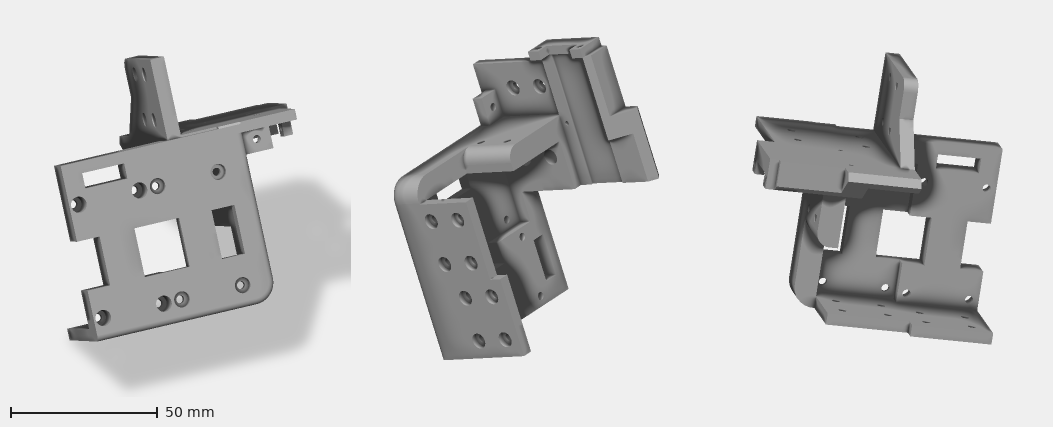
import cadquery as cq
import math

TILT = 38.8

Y_FRONT = -45.6
Y_BACK = 45.6
Y_STEP = -17.1
Y_UPRIGHT = -6.2
Y_WEB = 11.7
Y_WALL_BACK = 19.7
Y_DECK_BACK = 39.4
EAR_THICK = 3.2
Y_EAR = Y_BACK - EAR_THICK

WALL_X = 21.2
WALL_THICK = 8.8
RECESS_THICK = 4.2
WALL_TOP = 15.9
BASE_Z = -45.5
WALL_CORNER_R = 7.5
WALL_EDGE_R = 2.0
WALL_INNER_X = WALL_X - WALL_THICK
RECESS_X = WALL_X - RECESS_THICK

FOOT_THICK = 4.05
FOOT_REACH = 29.0

WEB_X = -12.05
WEB_BOTTOM = -18.4
WEB_CORNER_R = 5.0
RIB_X = 9.2

DECK_TOP = 16.65
DECK_BOTTOM = 7.8
DECK_END_X = 18.6
SHELF_BOTTOM = 13.0
BEVEL_X = 0.5
UPRIGHT_THICK = 5.0
UPRIGHT_TOP = 44.2
UPRIGHT_LEFT = -17.4
UPRIGHT_CORNER_R = 4.0
BRACE_TOP = 30.5
BRACE_X = -31.1

ARM_TIP_Z = 13.9
ARM_CLEARANCE_X = -55.2
ARM_BOTTOM = 11.4
ARM_LIP_X = -38.2
ARM_END_X = -35.9
EAR_WIDTH = 4.8
EAR_BOTTOM = 5.9
GROOVE_DEPTH = 0.9
BRIDGE_DROP = 0.9
TAB_BOTTOM = 5.1
TAB_THICK = 4.05
TAB_WIDTH = 10.1

WINDOW_Z = (-27.7, -10.6)
WINDOWS_Y = [(Y_FRONT, -37.4), (-24.8, -8.65), (3.1, 11.4)]
SLOT_Y = (-38.7, -23.55)
SLOT_Z = (6.5, 11.9)

SCREW_D = 2.8
HEAD_D = 5.5
UPRIGHT_HEAD_D = 5.0
SCREW_FLOOR = 2.0
PILOT_D = 1.6
EAR_HOLE_D = 2.6
HOLE_PITCH = 12.05
HOLE_ROW = 15.9
WALL_HOLE_ROW = 22.0
WALL_HOLE_LOW = -38.0
WALL_HOLE_HIGH = 1.7
WALL_HOLE_FRONT_Y = -42.2
WALL_HOLE_BACK_Y = -13.7
PLATE_HOLE_X = -5.7
UPRIGHT_HOLE_Z = 22.8
WEB_HOLE_Z = -10.2
DECK_HOLE_Y = 6.0
SHELF_HOLE_Y = 30.0
FOOT_HOLE_OFFSET = 10.8
FOOT_HOLE_FRONT_Y = -39.3
FOOT_HOLE_BACK_Y = -10.7
EAR_HOLE_Z = 8.9
TAB_HOLE_Z = 9.4
PILOT_Y = 16.65
OVERRUN = 0.9


def block(x_range, y_range, z_range):
    """Box spanning the given ranges."""
    (x0, x1), (y0, y1), (z0, z1) = x_range, y_range, z_range
    box = cq.Workplane("XY").box(x1 - x0, y1 - y0, z1 - z0, centered=False)
    return box.translate((x0, y0, z0))


def side_profile(points, y0, y1):
    """Prism with an x-z outline, running from y0 to y1."""
    return cq.Workplane("XZ", origin=(0, y0, 0)).polyline(points).close().extrude(y0 - y1)


def cylinder(diameter, start, direction, length):
    return cq.Workplane(
        cq.Solid.makeCylinder(diameter / 2, length, cq.Vector(*start), cq.Vector(*direction))
    )


def screw_hole(start, direction, thickness, head_d=HEAD_D):
    """Cutter entering at `start`, widened for the head beyond the remaining floor."""
    axis = cq.Vector(*direction)
    entry = cq.Vector(*start)
    shank_start = (entry - axis * OVERRUN).toTuple()
    head_start = (entry + axis * SCREW_FLOOR).toTuple()
    shank = cylinder(SCREW_D, shank_start, direction, thickness + OVERRUN)
    head = cylinder(head_d, head_start, direction, thickness - SCREW_FLOOR + OVERRUN)
    return shank.union(head)


def make_wall():
    """Wall plate with its back rib, rounded back corner and rounded outer rim."""
    wall = block((RIB_X, WALL_X), (Y_FRONT, Y_WALL_BACK), (BASE_Z, WALL_TOP))
    wall = wall.edges("|X and >Y and <Z").fillet(WALL_CORNER_R)
    margin = 0.1
    rim = cq.selectors.BoxSelector(
        (WALL_X - margin, Y_FRONT + margin, BASE_Z - margin),
        (WALL_X + margin, Y_WALL_BACK + margin, WALL_TOP - margin),
    )
    wall = wall.edges(rim).fillet(WALL_EDGE_R)
    wall = wall.cut(block((RIB_X, WALL_INNER_X), (Y_FRONT, Y_WEB), (BASE_Z, WALL_TOP)))
    return wall.cut(block((WALL_INNER_X, RECESS_X), (Y_STEP, Y_WEB), (BASE_Z, DECK_BOTTOM)))


def make_foot():
    foot_z = (BASE_Z, BASE_Z + FOOT_THICK)
    front = block((WALL_INNER_X - FOOT_REACH, WALL_INNER_X), (Y_FRONT, Y_STEP), foot_z)
    back = block((RECESS_X - FOOT_REACH, RECESS_X), (Y_STEP, Y_WEB), foot_z)
    return front.union(back)


def make_web():
    web = block((WEB_X, WALL_INNER_X), (Y_WEB, Y_WALL_BACK), (WEB_BOTTOM, DECK_TOP))
    return web.edges("|X and >Y and <Z").fillet(WEB_CORNER_R)


def make_deck():
    deck = block((WEB_X, DECK_END_X), (Y_UPRIGHT, Y_WALL_BACK), (DECK_BOTTOM, DECK_TOP))
    bevelled_end = [
        (WEB_X, SHELF_BOTTOM),
        (WALL_X, SHELF_BOTTOM),
        (WALL_X, WALL_TOP),
        (WALL_X - BEVEL_X, DECK_TOP),
        (WEB_X, DECK_TOP),
    ]
    shelf = block((WEB_X, WALL_X), (Y_WALL_BACK, Y_DECK_BACK), (SHELF_BOTTOM, DECK_TOP))
    tab = block(
        (DECK_END_X - TAB_THICK, DECK_END_X),
        (Y_WALL_BACK, Y_WALL_BACK + TAB_WIDTH),
        (TAB_BOTTOM, SHELF_BOTTOM),
    )
    return deck.union(side_profile(bevelled_end, Y_WEB, Y_WALL_BACK)).union(shelf).union(tab)


def make_upright():
    outline = [
        (BRACE_X, DECK_TOP),
        (UPRIGHT_LEFT, BRACE_TOP),
        (UPRIGHT_LEFT, UPRIGHT_TOP),
        (DECK_END_X, UPRIGHT_TOP),
        (DECK_END_X, DECK_TOP),
    ]
    plate = side_profile(outline, Y_UPRIGHT, Y_UPRIGHT + UPRIGHT_THICK)
    corner = cq.selectors.NearestToPointSelector((UPRIGHT_LEFT, Y_UPRIGHT, UPRIGHT_TOP))
    return plate.edges("|Y").edges(corner).fillet(UPRIGHT_CORNER_R)


def make_arm():
    """Arm with a tip cut level and plumb in the tilted position, a lip and two ears."""
    slope = math.tan(math.radians(TILT))
    level_x = ARM_END_X - (ARM_BOTTOM - EAR_BOTTOM) / slope
    tip_x = ARM_END_X - (ARM_TIP_Z - EAR_BOTTOM) / slope
    tip = [
        (level_x, ARM_BOTTOM),
        (tip_x, ARM_TIP_Z),
        (tip_x + (DECK_TOP - ARM_TIP_Z) * slope, DECK_TOP),
    ]
    root = [(WEB_X, DECK_TOP), (WEB_X, ARM_BOTTOM)]
    arm = side_profile(tip + root, Y_UPRIGHT, Y_BACK)
    lip = [(level_x, ARM_BOTTOM), (ARM_END_X, ARM_BOTTOM), (ARM_END_X, EAR_BOTTOM)]
    arm = arm.union(side_profile(lip, Y_WEB, Y_EAR))

    beyond = (ARM_CLEARANCE_X, ARM_LIP_X)
    arm = arm.cut(block(beyond, (Y_WALL_BACK, Y_BACK), (EAR_BOTTOM, DECK_TOP)))
    arm = arm.cut(block((ARM_LIP_X, ARM_END_X), (Y_EAR, Y_BACK), (EAR_BOTTOM, DECK_TOP)))

    between_ears = (ARM_END_X + EAR_WIDTH, WEB_X - EAR_WIDTH)
    arm = arm.cut(block(between_ears, (Y_UPRIGHT, Y_EAR), (ARM_BOTTOM, ARM_BOTTOM + GROOVE_DEPTH)))
    bridge = block(between_ears, (Y_EAR, Y_BACK), (ARM_BOTTOM - BRIDGE_DROP, ARM_BOTTOM))
    arm = arm.union(bridge)
    for ear_x in (ARM_END_X, WEB_X - EAR_WIDTH):
        ear = block((ear_x, ear_x + EAR_WIDTH), (Y_EAR, Y_BACK), (EAR_BOTTOM, ARM_BOTTOM))
        arm = arm.union(ear)
    return arm


def wall_openings():
    through = (RIB_X - OVERRUN, WALL_X + OVERRUN)
    cutters = block(through, SLOT_Y, SLOT_Z)
    for window_y in WINDOWS_Y:
        cutters = cutters.union(block(through, window_y, WINDOW_Z))
    return cutters


def screw_holes():
    """Cutters for all holes whose screw heads sit in counterbores."""
    cutters = []
    for inner_x, thickness, first_y in (
        (WALL_INNER_X, WALL_THICK, WALL_HOLE_FRONT_Y),
        (RECESS_X, RECESS_THICK, WALL_HOLE_BACK_Y),
    ):
        for y in (first_y, first_y + WALL_HOLE_ROW):
            for z in (WALL_HOLE_LOW, WALL_HOLE_HIGH):
                cutters.append(screw_hole((inner_x, y, z), (1, 0, 0), thickness))

    upright_back = Y_UPRIGHT + UPRIGHT_THICK
    for x in (PLATE_HOLE_X, PLATE_HOLE_X + HOLE_PITCH):
        for z in (UPRIGHT_HOLE_Z, UPRIGHT_HOLE_Z + HOLE_ROW):
            start = (x, upright_back, z)
            cutters.append(screw_hole(start, (0, -1, 0), UPRIGHT_THICK, UPRIGHT_HEAD_D))
        for y, bottom in ((DECK_HOLE_Y, DECK_BOTTOM), (SHELF_HOLE_Y, SHELF_BOTTOM)):
            cutters.append(screw_hole((x, y, DECK_TOP), (0, 0, -1), DECK_TOP - bottom))

    foot_top = BASE_Z + FOOT_THICK
    for inner_x, first_y in ((WALL_INNER_X, FOOT_HOLE_FRONT_Y), (RECESS_X, FOOT_HOLE_BACK_Y)):
        first_x = inner_x - FOOT_HOLE_OFFSET
        for x in (first_x, first_x - HOLE_PITCH):
            for y in (first_y, first_y + HOLE_ROW):
                cutters.append(screw_hole((x, y, foot_top), (0, 0, -1), FOOT_THICK))
    return cutters


def plain_holes():
    """Cutters for straight holes in the web, ears, arm and tab."""
    cutters = []
    web_depth = Y_WALL_BACK - Y_WEB
    for x in (PLATE_HOLE_X, PLATE_HOLE_X + HOLE_PITCH):
        cutters.append(cylinder(SCREW_D, (x, Y_WEB, WEB_HOLE_Z), (0, 1, 0), web_depth))

    arm_depth = DECK_TOP - ARM_BOTTOM + GROOVE_DEPTH
    for ear_x in (ARM_END_X, WEB_X - EAR_WIDTH):
        x = ear_x + EAR_WIDTH / 2
        cutters.append(cylinder(EAR_HOLE_D, (x, Y_EAR, EAR_HOLE_Z), (0, 1, 0), EAR_THICK))
        cutters.append(cylinder(PILOT_D, (x, PILOT_Y, DECK_TOP), (0, 0, -1), arm_depth))

    tab_y = Y_WALL_BACK + TAB_WIDTH / 2
    cutters.append(cylinder(SCREW_D, (DECK_END_X, tab_y, TAB_HOLE_Z), (-1, 0, 0), TAB_THICK))
    return cutters


bracket = make_wall()
for piece in (make_foot(), make_web(), make_deck(), make_upright(), make_arm()):
    bracket = bracket.union(piece)
bracket = bracket.cut(wall_openings())
for cutter in screw_holes() + plain_holes():
    bracket = bracket.cut(cutter)

result = bracket.rotate((0, 0, 0), (0, 1, 0), -TILT)